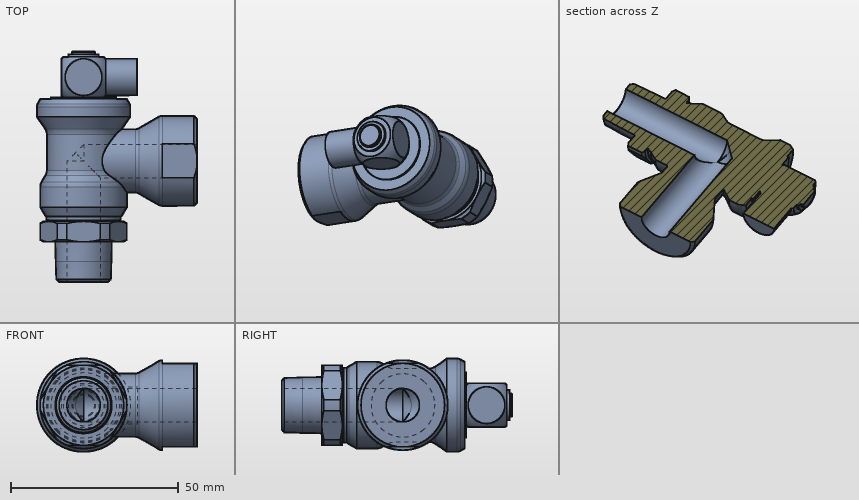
import cadquery as cq
import math


cap_radius = 14.0
cap_face_radius = 12.95
cap_face_y = 18.55
cap_shoulder_y = 16.7
cap_lower_y = 13.2
barrel_radius = 11.0
barrel_upper_y = 8.9
barrel_lower_y = -3.6
collar_radius = 13.0
collar_upper_y = -6.95
collar_lower_y = -13.8
collar_foot_radius = 11.6
collar_foot_y = -16.2
lip_radius = 11.2
lip_upper_y = -16.7
lip_lower_y = -17.7
groove_radius = 10.7
barrel_blend = 3.0
cap_blend = 2.0

disc_radius = 9.8
disc_top_y = 19.05

hex_sides = 6
hex_across_flats = 24.0
hex_corner_diameter = hex_across_flats / math.cos(math.pi / hex_sides)
hex_corner_radius = 13.0
hex_face_radius = hex_across_flats / 2
hex_chamfer = 0.6
hex_upper_y = -18.1
hex_lower_y = -24.2

spigot_radius = 8.5
spigot_middle_radius = 8.38
spigot_lower_radius = 8.2
spigot_end_radius = 7.3
spigot_middle_y = -30.0
spigot_chamfer_y = -35.4
spigot_end_y = -36.25

neck_radius = 9.5
port_radius = 13.5
port_cone_angle = 30.0
port_cone_start_x = 16.05
port_cone_end_x = port_cone_start_x + (port_radius - neck_radius) / math.tan(math.radians(port_cone_angle))
port_end_x = 34.0
port_chamfer = 1.0
port_blend = 2.0
port_flat_x = 23.6
port_across_flats = 25.0

block_width = 13.2
block_y = 25.05
block_top_y = 31.1
block_facet_radius = 5.5
tube_radius = block_facet_radius
tube_end_x = 16.0
button_base_radius = 4.55
button_base_top_y = 31.95
button_radius = 3.5
button_chamfer = 0.3
button_top_y = 32.8

bore_radius = 5.0
drill_tip_length = 5.0


def revolve_about_y(points):
    """Solid of revolution about Y from (radius, y) points, closed along the axis."""
    closed = [(0, points[0][1])] + points + [(0, points[-1][1])]
    return cq.Workplane("XY").polyline(closed).close().revolve(360, (0, 0), (0, 1))


def revolve_about_x(points):
    """Solid of revolution about X from (x, radius) points, closed along the axis."""
    closed = [(points[0][0], 0)] + points + [(points[-1][0], 0)]
    return cq.Workplane("XY").polyline(closed).close().revolve(360, (0, 0), (1, 0))


def blend_rim(solid, axis, position, radius):
    """Fillet the circular edge centred at the given position along the "X" or "Y" axis."""
    reach = 0.01
    centre = cq.Vector(position, 0, 0) if axis == "X" else cq.Vector(0, position, 0)
    margin = cq.Vector(reach, reach, reach)
    selector = cq.selectors.BoxSelector((centre - margin).toTuple(), (centre + margin).toTuple())
    return solid.edges(selector).fillet(radius)


def make_body():
    body = revolve_about_y([
        (cap_face_radius, cap_face_y),
        (cap_radius, cap_shoulder_y),
        (cap_radius, cap_lower_y),
        (barrel_radius, barrel_upper_y),
        (barrel_radius, barrel_lower_y),
        (collar_radius, collar_upper_y),
        (collar_radius, collar_lower_y),
        (collar_foot_radius, collar_foot_y),
        (lip_radius, lip_upper_y),
        (lip_radius, lip_lower_y),
        (groove_radius, lip_lower_y),
        (groove_radius, hex_upper_y),
    ])
    body = blend_rim(body, "Y", cap_shoulder_y, cap_blend)
    for corner_y in (barrel_upper_y, barrel_lower_y, collar_upper_y):
        body = blend_rim(body, "Y", corner_y, barrel_blend)
    disc = revolve_about_y([(disc_radius, disc_top_y), (disc_radius, cap_face_y)])
    return body.union(disc)


def make_hex_nut():
    height = hex_upper_y - hex_lower_y
    prism = (
        cq.Workplane("XZ", origin=(0, hex_upper_y, 0))
        .polygon(hex_sides, hex_corner_diameter)
        .extrude(height)
    )
    turned_envelope = revolve_about_y([
        (hex_face_radius, hex_upper_y),
        (hex_corner_radius, hex_upper_y - hex_chamfer),
        (hex_corner_radius, hex_lower_y + hex_chamfer),
        (hex_face_radius, hex_lower_y),
    ])
    return prism.intersect(turned_envelope)


def make_spigot():
    return revolve_about_y([
        (spigot_radius, hex_lower_y),
        (spigot_middle_radius, spigot_middle_y),
        (spigot_lower_radius, spigot_chamfer_y),
        (spigot_end_radius, spigot_end_y),
    ])


def make_port():
    port = revolve_about_x([
        (0, neck_radius),
        (port_cone_start_x, neck_radius),
        (port_cone_end_x, port_radius),
        (port_end_x - port_chamfer, port_radius),
        (port_end_x, port_radius - port_chamfer),
    ])
    for corner_x in (port_cone_start_x, port_cone_end_x):
        port = blend_rim(port, "X", corner_x, port_blend)
    flat_length = port_end_x - port_flat_x
    for side in (1, -1):
        waste = cq.Workplane("XY").box(flat_length, 2 * port_radius, port_radius).translate((
            port_flat_x + flat_length / 2,
            0,
            side * (port_across_flats + port_radius) / 2,
        ))
        port = port.cut(waste)
    return port


def make_elbow():
    """Block with its corners turned to a sphere, carrying a side tube along +X and a button on +Y."""
    sphere_radius = math.hypot(block_width / 2, block_facet_radius)
    block = (
        cq.Workplane("XY")
        .box(block_width, block_top_y - cap_face_y, block_width)
        .translate((0, (block_top_y + cap_face_y) / 2, 0))
    )
    sphere = cq.Workplane("XY").sphere(sphere_radius).translate((0, block_y, 0))
    tube = cq.Workplane("YZ").center(block_y, 0).circle(tube_radius).extrude(tube_end_x)
    button = revolve_about_y([
        (button_base_radius, block_y),
        (button_base_radius, button_base_top_y),
        (button_radius, button_base_top_y),
        (button_radius, button_top_y - button_chamfer),
        (button_radius - button_chamfer, button_top_y),
    ])
    return block.intersect(sphere).union(tube).union(button)


def drill_to_origin(start):
    """Drilling from a start point to the origin, with a conical tip running on beyond it."""
    origin = cq.Vector(0, 0, 0)
    direction = origin - start
    shank = cq.Solid.makeCylinder(bore_radius, start.Length, start, direction)
    tip = cq.Solid.makeCone(bore_radius, 0, drill_tip_length, origin, direction)
    return cq.Workplane(shank).union(cq.Workplane(tip))


result = (
    make_body()
    .union(make_hex_nut())
    .union(make_spigot())
    .union(make_port())
    .union(make_elbow())
    .cut(drill_to_origin(cq.Vector(0, spigot_end_y, 0)))
    .cut(drill_to_origin(cq.Vector(port_end_x, 0, 0)))
)